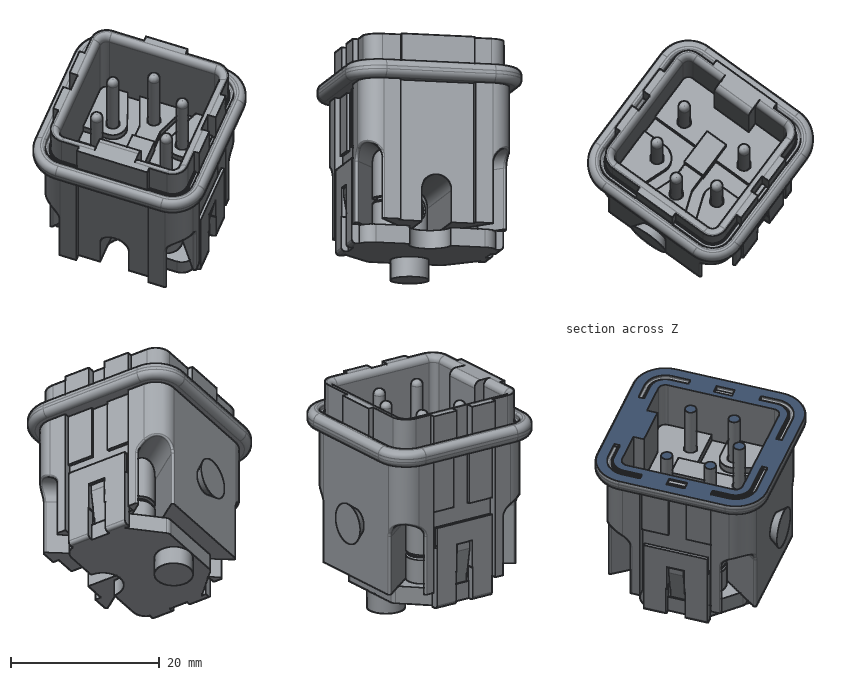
import cadquery as cq
import math

TOLERANCE = 0.0003

TOP_Z = 30.6
FLANGE_TOP_Z = 26.8
FLANGE_BOTTOM_Z = 24.4
PAD_Z = 19.2
CHANNEL_Z = 18.18
HOUSING_BOTTOM_Z = 5.2
BASE_BOTTOM_Z = 2.72

CORNER_CENTRE = 7.55
FLANGE_HALF = 12.15
BODY_HALF = 10.5
COLLAR_HALF = 9.75
CAVITY_HALF = 8.55
MOUTH_FILLET = 0.98

FLANGE_EDGE = 0.98
GROOVE_DEPTH = 0.98
GROOVE_LIP = 0.35
GROOVE_FLOOR_HALF = 10.28
GROOVE_STEP_HALF = 9.98
GROOVE_STEP_HEIGHT = 0.25

SIDE_PANEL_X = 9.35
SIDE_PANEL_HALF = 5.05
SIDE_GAP_HALF = 1.25
RIB_BOTTOM_Z = 16.45
FRONT_PANEL_Y = 9.6
FRONT_PANEL_HALF = 5.17
RIB_OVERLAP = 0.15
FRONT_KEY_HALF = 5.05
BACK_KEY_HALF = 3.0
INNER_KEY_HALF = 2.88
INNER_KEY_Y = 7.05

CONTACT_X = 5.0
CONTACT_Y = 3.1
CONTACTS = [(sx * CONTACT_X, sy * CONTACT_Y) for sx in (-1, 1) for sy in (-1, 1)]
GROUND_Y = 5.5
PIN_DIAMETER = 1.6
PIN_HOLE_DIAMETER = 1.85
CONTACT_TIP_Z = 29.38
GROUND_TIP_Z = 29.65

PAD_RADIUS = 1.95
PAD_ANGLE = math.radians(20)
NECK_HALF = 1.47
NECK_BEND_Y = 3.98
LOWER_PAD_Y = -1.3
POST_HALF = 1.6
POST_BACK_Y = 1.55
POST_FRONT_Y = -3.67

WINDOW_HALF = 2.08
WINDOW_SPRING_Z = 13.62
WINDOW_EDGE_FILLET = 0.25
WINDOW_DIRECTION = (0.6, 0.8)
SLEEVE_DIAMETER = 4.5
SLEEVE_NECK_DIAMETER = 3.3
SLEEVE_CHAMFER = 0.25
SLEEVE_NECK_BOTTOM_Z = 8.85
SLEEVE_NECK_TOP_Z = 9.33
SLEEVE_TOP_Z = 16.83

TERMINAL_DIAMETER = 5.2
ARCH_HALF = 2.05
ARCH_SPRING_Z = 9.65
WIRE_HOLE_Z = 9.27
WIRE_HOLE_DIAMETER = 2.9
WIRE_HOLE_CHAMFER = 0.28
WIRE_HOLE_DEPTH = 2.45
CORE_DIAMETER = 3.3
CORE_TOP_Z = 10.13
SCREW_Z = 13.37
SCREW_NECK_DIAMETER = 3.75
SCREW_HEAD_DIAMETER = 5.7
SCREW_HEAD_Y = 11.8

BASE_HALF = 9.55
BASE_FRONT_Y = -5.95
BASE_BACK_Y = 8.1
BASE_BACK_CHAMFER = 4.45
BASE_BACK_FILLET = 0.92
BASE_CORNER = 2.0
SCALLOP_DIAMETER = 5.7

TAB_HALF = 4.53
TAB_TOP_Z = 14.38
TAB_EDGE = 0.52
TAB_THICKNESS = 0.43
TAB_SLOT_TOP_Z = 11.35
TAB_SLOT_STEP_Z = 7.4
TAB_SLOT_LOWER_HALF = 1.38
WEDGE_HALF = 1.05
WEDGE_X = 10.25
WEDGE_TOP_Z = 11.23
WEDGE_BEND_Z = 10.25


def box(x0, x1, y0, y1, z0, z1):
    return cq.Workplane("XY").box(x1 - x0, y1 - y0, z1 - z0, centered=False).translate((x0, y0, z0))


def rounded_square(half, z0, z1):
    square = cq.Workplane("XY", origin=(0, 0, z0)).rect(2 * half, 2 * half).extrude(z1 - z0)
    return square.edges("|Z").fillet(half - CORNER_CENTRE)


def cylinder(x, y, diameter, z0, z1):
    return cq.Workplane("XY", origin=(x, y, z0)).circle(diameter / 2).extrude(z1 - z0)


def both_sides(shape):
    return shape.union(shape.mirror("YZ"))


def sleeve(x, y):
    """Upright contact sleeve with a narrow neck above its chamfered lower part."""
    lower = cylinder(x, y, SLEEVE_DIAMETER, HOUSING_BOTTOM_Z, SLEEVE_NECK_BOTTOM_Z)
    lower = lower.faces(">Z").edges().chamfer(SLEEVE_CHAMFER)
    neck = cylinder(x, y, SLEEVE_NECK_DIAMETER, HOUSING_BOTTOM_Z, SLEEVE_TOP_Z)
    upper = cylinder(x, y, SLEEVE_DIAMETER, SLEEVE_NECK_TOP_Z, SLEEVE_TOP_Z)
    return lower.union(neck).union(upper)


def all_corners(shape):
    half = both_sides(shape)
    return half.union(half.mirror("XZ"))


def corner_window():
    """Round-topped passage running diagonally from a contact sleeve out to the corner."""
    along_x, along_y = WINDOW_DIRECTION
    plane = cq.Plane(
        origin=(CONTACT_X, CONTACT_Y, HOUSING_BOTTOM_Z),
        xDir=(-along_y, along_x, 0),
        normal=(along_x, along_y, 0),
    )
    spring = WINDOW_SPRING_Z - HOUSING_BOTTOM_Z
    return (
        cq.Workplane(plane)
        .moveTo(-WINDOW_HALF, 0)
        .lineTo(-WINDOW_HALF, spring)
        .threePointArc((0, spring + WINDOW_HALF), (WINDOW_HALF, spring))
        .lineTo(WINDOW_HALF, 0)
        .close()
        .extrude(BODY_HALF)
    )


def is_window_rim(edge):
    """True for edges where a corner window breaks through the outer wall."""
    middle = edge.positionAt(0.5)
    x = abs(middle.x)
    y = abs(middle.y)
    if min(x, y) < CONTACT_X or min(abs(x - CORNER_CENTRE), abs(y - CORNER_CENTRE)) < TOLERANCE:
        return False
    if edge.BoundingBox().zlen < TOLERANCE or middle.z > WINDOW_SPRING_Z + WINDOW_HALF:
        return False
    corner_distance = math.hypot(x - CORNER_CENTRE, y - CORNER_CENTRE)
    on_corner = abs(corner_distance - (BODY_HALF - CORNER_CENTRE)) < TOLERANCE
    return on_corner or abs(max(x, y) - BODY_HALF) < TOLERANCE


def housing():
    """Lower housing with filleted corner windows and recessed side and front panels."""
    body = rounded_square(BODY_HALF, HOUSING_BOTTOM_Z, FLANGE_BOTTOM_Z)
    body = body.cut(all_corners(corner_window()))
    rim = [edge for edge in body.edges().vals() if is_window_rim(edge)]
    body = body.newObject(rim).fillet(WINDOW_EDGE_FILLET)
    side_panel = box(
        SIDE_PANEL_X, BODY_HALF, -SIDE_PANEL_HALF, SIDE_PANEL_HALF, HOUSING_BOTTOM_Z, FLANGE_BOTTOM_Z
    )
    front_panel = box(
        -FRONT_PANEL_HALF, FRONT_PANEL_HALF, -BODY_HALF, -FRONT_PANEL_Y, HOUSING_BOTTOM_Z, FLANGE_BOTTOM_Z
    )
    lower_rib = box(
        SIDE_PANEL_X, COLLAR_HALF, SIDE_GAP_HALF, SIDE_PANEL_HALF, RIB_BOTTOM_Z, FLANGE_BOTTOM_Z
    )
    body = body.cut(both_sides(side_panel)).cut(front_panel).union(all_corners(lower_rib))
    return body.union(all_corners(sleeve(CONTACT_X, CONTACT_Y)))


def top_rim(shape, half):
    """Top edges lying no farther out than the rounded square of the given half width."""
    rim = []
    for edge in shape.faces(">Z").edges().vals():
        middle = edge.positionAt(0.5)
        if max(abs(middle.x), abs(middle.y)) < half + TOLERANCE:
            rim.append(edge)
    return rim


def flange():
    """Rounded flange whose top carries a stepped groove around the collar."""
    ring = rounded_square(FLANGE_HALF, FLANGE_BOTTOM_Z, FLANGE_TOP_Z)
    ring = ring.faces("<Z or >Z").edges().fillet(FLANGE_EDGE)
    floor_z = FLANGE_TOP_Z - GROOVE_DEPTH
    groove = rounded_square(BODY_HALF, floor_z, FLANGE_TOP_Z)
    groove = groove.faces("<Z").edges().fillet(BODY_HALF - GROOVE_FLOOR_HALF)
    ring = ring.cut(groove)
    ring = ring.newObject(top_rim(ring, BODY_HALF)).fillet(GROOVE_LIP)
    step = rounded_square(GROOVE_STEP_HALF, floor_z, floor_z + GROOVE_STEP_HEIGHT)
    return ring.union(step)


def collar():
    """Open-topped collar with a rounded mouth, outer ribs and the front key."""
    rib_bottom = FLANGE_TOP_Z - GROOVE_DEPTH
    wall = rounded_square(COLLAR_HALF, rib_bottom, TOP_Z)
    wall = wall.cut(rounded_square(CAVITY_HALF, rib_bottom, TOP_Z))
    wall = wall.newObject(top_rim(wall, CAVITY_HALF)).fillet(MOUTH_FILLET)
    gap = box(SIDE_PANEL_X, BODY_HALF, -SIDE_GAP_HALF, SIDE_GAP_HALF, rib_bottom, TOP_Z)
    wall = wall.cut(both_sides(gap))
    rib_root = COLLAR_HALF - RIB_OVERLAP
    side_rib = box(rib_root, BODY_HALF, SIDE_GAP_HALF, SIDE_PANEL_HALF, rib_bottom, TOP_Z)
    back_rib = box(-BACK_KEY_HALF, BACK_KEY_HALF, rib_root, BODY_HALF, rib_bottom, TOP_Z)
    front_key = box(-FRONT_KEY_HALF, FRONT_KEY_HALF, -BODY_HALF, -rib_root, rib_bottom, TOP_Z)
    inner_key = box(-INNER_KEY_HALF, INNER_KEY_HALF, -rib_root, -INNER_KEY_Y, CHANNEL_Z, TOP_Z)
    inner_key = inner_key.edges(">Y and >Z").fillet(MOUTH_FILLET)
    return wall.union(all_corners(side_rib)).union(back_rib).union(front_key).union(inner_key)


def contact_pad():
    """Raised pad around one rear contact, with a rounded inner corner and a slanted side."""
    tangent_x = CONTACT_X - PAD_RADIUS * math.cos(PAD_ANGLE)
    tangent_y = CONTACT_Y + PAD_RADIUS * math.sin(PAD_ANGLE)
    arc_start = math.pi - PAD_ANGLE
    arc_end = 1.5 * math.pi
    arc_middle = (arc_start + arc_end) / 2
    back_x = tangent_x + (CAVITY_HALF - tangent_y) * math.tan(PAD_ANGLE)
    return (
        cq.Workplane("XY", origin=(0, 0, CHANNEL_Z))
        .moveTo(back_x, CAVITY_HALF)
        .lineTo(tangent_x, tangent_y)
        .threePointArc(
            (CONTACT_X + PAD_RADIUS * math.cos(arc_middle), CONTACT_Y + PAD_RADIUS * math.sin(arc_middle)),
            (CONTACT_X, CONTACT_Y - PAD_RADIUS),
        )
        .lineTo(CAVITY_HALF, CONTACT_Y - PAD_RADIUS)
        .lineTo(CAVITY_HALF, CAVITY_HALF)
        .close()
        .extrude(PAD_Z - CHANNEL_Z)
    )


def cavity_floor():
    """Raised pads separated by channels, plus the centre post."""
    back_half = NECK_HALF + (CAVITY_HALF - NECK_BEND_Y) * math.tan(PAD_ANGLE)
    ground_pad = (
        cq.Workplane("XY", origin=(0, 0, CHANNEL_Z))
        .polyline([
            (-NECK_HALF, 0),
            (NECK_HALF, 0),
            (NECK_HALF, NECK_BEND_Y),
            (back_half, CAVITY_HALF),
            (-back_half, CAVITY_HALF),
            (-NECK_HALF, NECK_BEND_Y),
        ])
        .close()
        .extrude(PAD_Z - CHANNEL_Z)
    )
    lower_pad = box(-CAVITY_HALF, CAVITY_HALF, -CAVITY_HALF, LOWER_PAD_Y, CHANNEL_Z, PAD_Z)
    post_top_z = PAD_Z + (PAD_Z - CHANNEL_Z)
    post = box(-POST_HALF, POST_HALF, POST_FRONT_Y, POST_BACK_Y, CHANNEL_Z, post_top_z)
    pads = both_sides(contact_pad()).union(ground_pad).union(lower_pad)
    return pads.intersect(rounded_square(CAVITY_HALF, CHANNEL_Z, PAD_Z)).union(post)


def pin(x, y, tip_z):
    """Contact pin with a domed tip."""
    shaft = cylinder(x, y, PIN_DIAMETER, CHANNEL_Z, tip_z)
    return shaft.faces(">Z").edges().fillet(PIN_DIAMETER / 2 - TOLERANCE)


def ground_terminal():
    """Round terminal with a chamfered cross hole facing the front and a core inside it."""
    terminal = cylinder(0, GROUND_Y, TERMINAL_DIAMETER, 0, SLEEVE_TOP_Z)
    front_y = GROUND_Y - TERMINAL_DIAMETER / 2
    mouth = cq.Workplane("XZ", origin=(0, front_y, WIRE_HOLE_Z))
    hole = mouth.circle(WIRE_HOLE_DIAMETER / 2).extrude(-WIRE_HOLE_DEPTH)
    terminal = terminal.cut(hole)
    rim = cq.selectors.NearestToPointSelector((0, front_y, WIRE_HOLE_Z + WIRE_HOLE_DIAMETER / 2))
    terminal = terminal.edges(rim).chamfer(WIRE_HOLE_CHAMFER)
    return terminal.union(cylinder(0, GROUND_Y, CORE_DIAMETER, 0, CORE_TOP_Z))


def arch():
    """Round-topped opening through the front wall as far as the ground terminal."""
    slot = box(-ARCH_HALF, ARCH_HALF, -BODY_HALF, GROUND_Y, HOUSING_BOTTOM_Z, ARCH_SPRING_Z)
    crown = cq.Workplane("XZ", origin=(0, GROUND_Y, ARCH_SPRING_Z)).circle(ARCH_HALF)
    return slot.union(crown.extrude(GROUND_Y + BODY_HALF))


def screw():
    """Conical screw head standing out from the back wall."""
    return (
        cq.Workplane("XZ", origin=(0, BODY_HALF, SCREW_Z))
        .circle(SCREW_NECK_DIAMETER / 2)
        .workplane(offset=BODY_HALF - SCREW_HEAD_Y)
        .circle(SCREW_HEAD_DIAMETER / 2)
        .loft()
    )


def base_plate():
    """Base plate with chamfered back corners and a scallop in its front edge."""
    plate = box(-BASE_HALF, BASE_HALF, BASE_FRONT_Y, BASE_BACK_Y, BASE_BOTTOM_Z, HOUSING_BOTTOM_Z)
    plate = plate.edges("|Z and <Y").fillet(BASE_CORNER)
    plate = plate.edges("|Z and >Y").chamfer(BASE_BACK_CHAMFER)
    plate = plate.edges("|Z and >Y").fillet(BASE_BACK_FILLET)
    return plate.cut(cylinder(0, BASE_FRONT_Y, SCALLOP_DIAMETER, BASE_BOTTOM_Z, HOUSING_BOTTOM_Z))


def latch_tab():
    """Side tab, free of the wall at its top, with a stepped slot and a sloping wedge inside the slot."""
    tab = box(SIDE_PANEL_X, BODY_HALF, -TAB_HALF, TAB_HALF, BASE_BOTTOM_Z, TAB_TOP_Z)
    tab = tab.edges(">X and <Z").fillet(TAB_EDGE)
    slot = box(SIDE_PANEL_X, BODY_HALF, -SIDE_GAP_HALF, SIDE_GAP_HALF, BASE_BOTTOM_Z, TAB_SLOT_TOP_Z)
    slot = slot.union(
        box(
            SIDE_PANEL_X, BODY_HALF, -TAB_SLOT_LOWER_HALF, TAB_SLOT_LOWER_HALF,
            BASE_BOTTOM_Z, TAB_SLOT_STEP_Z,
        )
    )
    wedge = (
        cq.Workplane("XZ", origin=(0, WEDGE_HALF, 0))
        .polyline([
            (SIDE_PANEL_X, HOUSING_BOTTOM_Z),
            (WEDGE_X, WEDGE_BEND_Z),
            (WEDGE_X, WEDGE_TOP_Z),
            (SIDE_PANEL_X, WEDGE_TOP_Z),
        ])
        .close()
        .extrude(2 * WEDGE_HALF)
    )
    tab = tab.cut(slot).union(wedge)
    gap = box(
        SIDE_PANEL_X, BODY_HALF - TAB_THICKNESS, -TAB_HALF, TAB_HALF, TAB_SLOT_TOP_Z, TAB_TOP_Z
    )
    return tab.cut(gap)


cavity = rounded_square(CAVITY_HALF, CHANNEL_Z, TOP_Z)
result = housing().union(flange()).cut(cavity)
result = result.union(collar()).union(cavity_floor())
result = result.cut(arch()).union(ground_terminal()).union(base_plate())
result = result.union(both_sides(latch_tab())).union(screw())

pins = [(x, y, CONTACT_TIP_Z) for x, y in CONTACTS]
pins.append((0, GROUND_Y, GROUND_TIP_Z))
for pin_x, pin_y, tip in pins:
    result = result.cut(cylinder(pin_x, pin_y, PIN_HOLE_DIAMETER, CHANNEL_Z, TOP_Z))
    result = result.union(pin(pin_x, pin_y, tip))